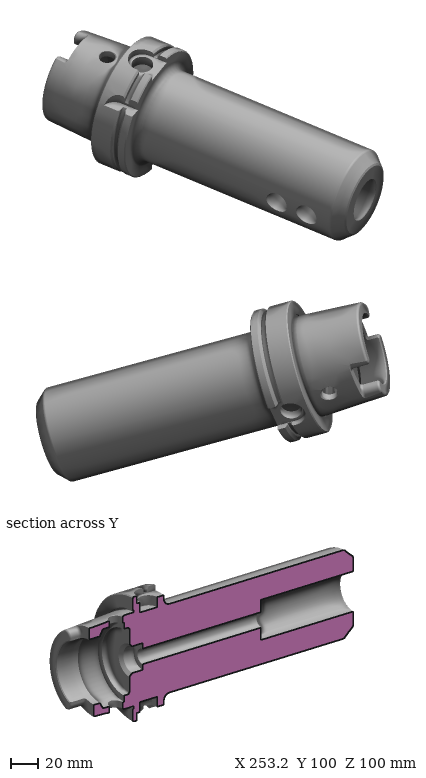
import cadquery as cq
import math


shank_length = 50.0
holder_length = 203.2

shank_gauge_diameter = 75.013
shank_gauge_distance = 10.0
shank_taper = 1 / 9.98
shank_end_fillet = 1.8
relief_diameter = 75.52
relief_length = 2.9
relief_runout = 1.5
face_groove_radius = 39.3
face_groove_depth = 1.0

flange_radius = 50.0
flange_length = 29.0
flange_edge_chamfer = 0.8
groove_root_radius = 45.7
groove_start = 18.0
groove_end = 21.3
groove_front_chamfer = 1.3
groove_rear_chamfer_length = 1.9
groove_rear_chamfer_depth = 2.4

body_radius = 71.37 / 2
neck_fillet = 5.0
nose_start = 193.3
nose_angle = math.radians(42)
nose_shoulder_fillet = 2.5
nose_end_radius = 26.8
nose_edge_length = 0.8

mouth_radius = 53.0 / 2
mouth_chamfer = 0.7
mouth_depth = 20.0
chamber_radius = 63.0 / 2
chamber_shoulder_angle = math.radians(60)
chamber_end = -8.0
bore_floor = -3.0
floor_fillet = 1.7

coolant_radius = 12.0 / 2
coolant_seat_radius = 21.0 / 2
coolant_seat_mouth_radius = 26.0 / 2
coolant_seat_cone_length = 2.5
coolant_seat_depth = 12.0

tool_bore_radius = 31.75 / 2
tool_bore_mouth_radius = 32.75 / 2
tool_bore_depth = 85.0

screw_hole_diameter = 17.32
screw_positions = (149.2, 174.4)

cross_hole_diameter = 12.0
cross_hole_chamfer = 0.7
cross_hole_x = -15.2

drive_slot_width = 20.0
drive_slot_ledge_height = 31.8
drive_slot_corner_radius = 5.0
drive_slot_floor_fillet = 2.0
upper_drive_slot_depth = 10.0
lower_drive_slot_depth = 14.3

keyway_width = 21.0
keyway_floor_height = 44.0
keyway_center_x = 14.6
keyway_pit_diameter = 16.0
keyway_pit_depth = 8.0

notch_corner = 44.0 * math.cos(math.radians(45))
notch_radius = 10.0
notch_center_x = 15.0


def shank_radius(x):
    """Radius of the taper at a position along the axis."""
    return (shank_gauge_diameter + shank_taper * (x + shank_gauge_distance)) / 2


def revolve_about_x(outline):
    return outline.revolve(360, (0, 0, 0), (1, 0, 0))


def outer_body():
    """Solid of revolution: shank, flange, neck and body."""
    relief_radius = relief_diameter / 2
    cone_start = nose_start + nose_shoulder_fillet * math.sin(nose_angle)
    cone_start_radius = body_radius - nose_shoulder_fillet * (1 - math.cos(nose_angle))
    cone_end = holder_length - nose_edge_length
    cone_end_radius = cone_start_radius - (cone_end - cone_start) * math.tan(nose_angle)
    outline = (
        cq.Workplane("XY")
        .moveTo(-shank_length, 0)
        .lineTo(-shank_length, shank_radius(-shank_length))
        .lineTo(-relief_length, shank_radius(-relief_length))
        .lineTo(-relief_length + relief_runout, relief_radius)
        .lineTo(face_groove_depth, relief_radius)
        .lineTo(face_groove_depth, face_groove_radius)
        .lineTo(0, face_groove_radius)
        .lineTo(0, flange_radius - flange_edge_chamfer)
        .lineTo(flange_edge_chamfer, flange_radius)
        .lineTo(groove_start - groove_front_chamfer, flange_radius)
        .lineTo(groove_start, flange_radius - groove_front_chamfer)
        .lineTo(groove_start, groove_root_radius)
        .lineTo(groove_end, groove_root_radius)
        .lineTo(groove_end, flange_radius - groove_rear_chamfer_depth)
        .lineTo(groove_end + groove_rear_chamfer_length, flange_radius)
        .lineTo(flange_length - flange_edge_chamfer, flange_radius)
        .lineTo(flange_length, flange_radius - flange_edge_chamfer)
        .lineTo(flange_length, body_radius + neck_fillet)
        .radiusArc((flange_length + neck_fillet, body_radius), -neck_fillet)
        .lineTo(nose_start, body_radius)
        .radiusArc((cone_start, cone_start_radius), nose_shoulder_fillet)
        .lineTo(cone_end, cone_end_radius)
        .lineTo(holder_length, nose_end_radius)
        .lineTo(holder_length, 0)
        .close()
    )
    return revolve_about_x(outline)


def clamping_bore():
    """Stepped bore of the shank, with the wider clamping chamber inside and the coolant seat behind it."""
    step = chamber_radius - mouth_radius
    chamber_start = -shank_length + mouth_depth
    chamber_full = chamber_start + step / math.tan(chamber_shoulder_angle)
    seat_end = bore_floor + coolant_seat_depth
    outline = (
        cq.Workplane("XY")
        .moveTo(-shank_length, 0)
        .lineTo(-shank_length, mouth_radius + mouth_chamfer)
        .lineTo(-shank_length + mouth_chamfer, mouth_radius)
        .lineTo(chamber_start, mouth_radius)
        .lineTo(chamber_full, chamber_radius)
        .lineTo(chamber_end, chamber_radius)
        .lineTo(chamber_end, mouth_radius)
        .lineTo(bore_floor - floor_fillet, mouth_radius)
        .radiusArc((bore_floor, mouth_radius - floor_fillet), floor_fillet)
        .lineTo(bore_floor, coolant_seat_mouth_radius)
        .lineTo(bore_floor + coolant_seat_cone_length, coolant_seat_radius)
        .lineTo(seat_end, coolant_seat_radius)
        .lineTo(seat_end, 0)
        .close()
    )
    return revolve_about_x(outline)


def tool_bore():
    """Tool bore from the nose with a chamfered mouth, and the coolant hole that leads to it."""
    bore_start = holder_length - tool_bore_depth
    mouth_edge = tool_bore_mouth_radius - tool_bore_radius
    outline = (
        cq.Workplane("XY")
        .moveTo(bore_floor, 0)
        .lineTo(bore_floor, coolant_radius)
        .lineTo(bore_start, coolant_radius)
        .lineTo(bore_start, tool_bore_radius)
        .lineTo(holder_length - mouth_edge, tool_bore_radius)
        .lineTo(holder_length, tool_bore_mouth_radius)
        .lineTo(holder_length, 0)
        .close()
    )
    return revolve_about_x(outline)


def screw_holes():
    """Radial holes from the -Y side into the tool bore."""
    return (
        cq.Workplane("XZ")
        .pushPoints([(x, 0) for x in screw_positions])
        .circle(screw_hole_diameter / 2)
        .extrude(flange_radius)
    )


def cross_hole():
    """Hole through both walls of the shank, with a chamfer at each outer end."""
    radius = cross_hole_diameter / 2
    surface = shank_radius(cross_hole_x)
    end = surface + cross_hole_chamfer
    half = (
        cq.Workplane("XZ", origin=(cross_hole_x, 0, 0))
        .moveTo(0, 0)
        .lineTo(radius, 0)
        .lineTo(radius, surface - cross_hole_chamfer)
        .lineTo(radius + 2 * cross_hole_chamfer, end)
        .lineTo(0, end)
        .close()
        .revolve(360, (0, 0, 0), (0, 1, 0))
    )
    return half.union(half.mirror("XY"))


def drive_slot(depth, side):
    """Slot across one shank wall that opens onto a flat ledge through rounded corners."""
    half_width = drive_slot_width / 2
    corner_y = half_width + drive_slot_corner_radius
    corner_z = drive_slot_ledge_height - drive_slot_corner_radius
    outline = (
        cq.Workplane("YZ", origin=(-shank_length, 0, 0))
        .moveTo(-half_width, 0)
        .lineTo(-half_width, corner_z)
        .radiusArc((-corner_y, drive_slot_ledge_height), -drive_slot_corner_radius)
        .lineTo(-flange_radius, drive_slot_ledge_height)
        .lineTo(-flange_radius, flange_radius)
        .lineTo(flange_radius, flange_radius)
        .lineTo(flange_radius, drive_slot_ledge_height)
        .lineTo(corner_y, drive_slot_ledge_height)
        .radiusArc((half_width, corner_z), -drive_slot_corner_radius)
        .lineTo(half_width, 0)
        .close()
    )
    slot = outline.extrude(depth).faces(">X").edges().fillet(drive_slot_floor_fillet)
    return slot if side > 0 else slot.mirror("XY")


def keyway(side):
    """Round-ended slot in the flange, open to the rear, with a blind pit at its round end."""
    slot_length = flange_length - keyway_center_x
    height = flange_radius - keyway_floor_height
    floor = cq.Workplane("XY", origin=(keyway_center_x, 0, keyway_floor_height))
    round_end = floor.circle(keyway_width / 2).extrude(height)
    straight = floor.center(slot_length / 2, 0).rect(slot_length, keyway_width).extrude(height)
    pit = floor.circle(keyway_pit_diameter / 2).extrude(-keyway_pit_depth)
    cutter = round_end.union(straight).union(pit)
    return cutter if side > 0 else cutter.mirror("XY")


def orientation_notch():
    """Corner notch in the flange between +Z and -Y, with a round front end."""
    center_y = -notch_corner - notch_radius
    slot_length = flange_length - notch_center_x
    floor = cq.Workplane("XY", origin=(notch_center_x, center_y, notch_corner))
    round_end = floor.circle(notch_radius).extrude(flange_radius)
    straight = floor.center(slot_length / 2, 0).rect(slot_length, 2 * notch_radius).extrude(flange_radius)
    return round_end.union(straight)


result = outer_body()
for slot_depth, side in ((upper_drive_slot_depth, 1), (lower_drive_slot_depth, -1)):
    result = result.cut(drive_slot(slot_depth, side))
    result = result.cut(keyway(side))
result = result.faces("<X").edges().fillet(shank_end_fillet)
result = result.cut(clamping_bore()).cut(tool_bore())
result = result.cut(orientation_notch()).cut(cross_hole()).cut(screw_holes())